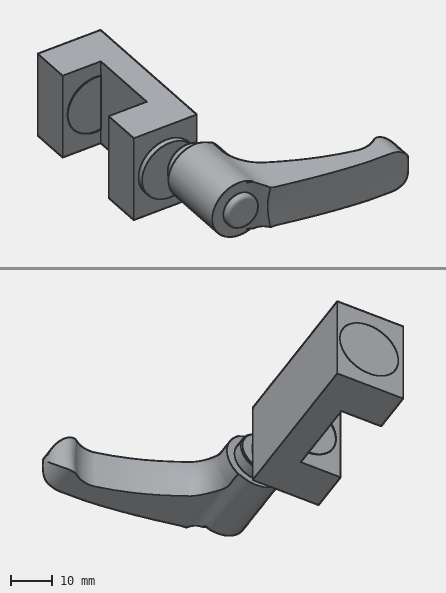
import cadquery as cq
import math

BLOCK_LENGTH = 42.0
BLOCK_DEPTH = 18.0
BLOCK_HEIGHT = 24.0
LEG_WIDTH = 11.0
SLOT_DEPTH = 10.9

BAR_DIAMETER = 16.0
BAR_CENTRE_Y = 9.35
BAR_LIP = 0.2
BAR_OVERHANG = 1.55
FLOOR_SKIN = 1.5

HUB_AXIS_Y = 14.35
HUB_RADIUS = 7.7
HUB_LENGTH = 19.1
COLLAR_DIAMETER = 11.8
COLLAR_LENGTH = 3.45
COLLAR_CHAMFER = 0.3
BUTTON_RADIUS = 4.55
BUTTON_LENGTH = 2.0
BUTTON_ROUND = 1.0

ARM_WIDTH = 11.3
ARM_REACH = 44.4
ARM_FLARE_RADIUS = 10.3
ARM_HEEL_X = 69.2
ARM_ROOT_RADIUS = 7.95

slot_end_x = BLOCK_LENGTH - LEG_WIDTH
bar_length = BLOCK_LENGTH + BAR_OVERHANG
hub_start_x = bar_length + COLLAR_LENGTH
hub_end_x = hub_start_x + HUB_LENGTH


def x_cylinder(start_x, length, radius, centre_y):
    """Cylinder along +X at Z = 0."""
    return cq.Workplane("YZ", origin=(start_x, centre_y, 0)).circle(radius).extrude(length)


def make_bar():
    """Round bar with a rectangular notch between the legs of the block."""
    bar = x_cylinder(0, bar_length, BAR_DIAMETER / 2, BAR_CENTRE_Y)
    notch_width = slot_end_x - LEG_WIDTH
    notch_depth = SLOT_DEPTH + FLOOR_SKIN
    floor_notch = (
        cq.Workplane("XY")
        .box(notch_width, FLOOR_SKIN, BLOCK_HEIGHT, centered=(False, False, True))
        .translate((LEG_WIDTH, SLOT_DEPTH, 0))
    )
    channel_notch = (
        cq.Workplane("XY")
        .box(notch_width - 2 * BAR_LIP, notch_depth, BLOCK_HEIGHT, centered=(False, False, True))
        .translate((LEG_WIDTH + BAR_LIP, 0, 0))
    )
    return bar.cut(floor_notch).cut(channel_notch)


def make_clamp(bar):
    """Channel block with a close-fitting bore for the bar."""
    block = (
        cq.Workplane("XY", origin=(0, 0, -BLOCK_HEIGHT / 2))
        .lineTo(LEG_WIDTH, 0)
        .lineTo(LEG_WIDTH, SLOT_DEPTH)
        .lineTo(slot_end_x, SLOT_DEPTH)
        .lineTo(slot_end_x, 0)
        .lineTo(BLOCK_LENGTH, 0)
        .lineTo(BLOCK_LENGTH, BLOCK_DEPTH)
        .lineTo(0, BLOCK_DEPTH)
        .close()
        .extrude(BLOCK_HEIGHT)
    )
    return block.cut(bar)


def make_hub():
    """Collar, hub barrel and end button on one axis."""
    collar = x_cylinder(bar_length, COLLAR_LENGTH, COLLAR_DIAMETER / 2, HUB_AXIS_Y)
    collar = collar.faces("<X").chamfer(COLLAR_CHAMFER)
    barrel = x_cylinder(hub_start_x, HUB_LENGTH, HUB_RADIUS, HUB_AXIS_Y)
    button = x_cylinder(hub_end_x, BUTTON_LENGTH, BUTTON_RADIUS, HUB_AXIS_Y)
    button = button.faces(">X").edges().fillet(BUTTON_ROUND)
    return collar.union(barrel).union(button)


def make_arm_side_profile():
    """Arm thickness profile, (x, distance from the hub axis), revolved about that axis."""
    tip_top = (71.2, ARM_REACH)
    return (
        cq.Workplane("XY", origin=(0, HUB_AXIS_Y, 0))
        .moveTo(hub_start_x, 0)
        .lineTo(hub_start_x, ARM_ROOT_RADIUS)
        .lineTo(51.5, ARM_ROOT_RADIUS)
        .threePointArc((56.1, 9.05), (59.75, 12.15))
        .threePointArc((64.8, 22.5), (68.0, 33.1))
        .threePointArc((67.7, 36.6), (66.4, 38.85))
        .threePointArc((66.0, 40.2), (66.4, 41.6))
        .threePointArc((68.3, 43.55), tip_top)
        .threePointArc((72.8, 44.1), (73.6, 42.3))
        .lineTo(73.4, 32.4)
        .threePointArc((71.95, 19.9), (ARM_HEEL_X, 6.5))
        .lineTo(ARM_HEEL_X, 0)
        .close()
        .revolve(360, (0, 0, 0), (1, 0, 0))
    )


def make_arm_plan():
    """Outline of the arm along the hub axis: flared root, parallel sides and round tip."""
    half_width = ARM_WIDTH / 2
    tip_centre_y = ARM_REACH - half_width
    centre_distance = HUB_RADIUS + ARM_FLARE_RADIUS
    flare_z = half_width + ARM_FLARE_RADIUS
    flare_y = math.sqrt(centre_distance**2 - flare_z**2)
    hub_y = flare_y * HUB_RADIUS / centre_distance
    hub_z = flare_z * HUB_RADIUS / centre_distance
    middle_angle = math.atan2(flare_y, flare_z) / 2
    middle_y = flare_y - ARM_FLARE_RADIUS * math.sin(middle_angle)
    middle_z = flare_z - ARM_FLARE_RADIUS * math.cos(middle_angle)
    return (
        cq.Workplane("YZ", origin=(hub_start_x, HUB_AXIS_Y, 0))
        .moveTo(hub_y, hub_z)
        .threePointArc((middle_y, middle_z), (flare_y, half_width))
        .lineTo(tip_centre_y, half_width)
        .threePointArc((ARM_REACH, 0), (tip_centre_y, -half_width))
        .lineTo(flare_y, -half_width)
        .threePointArc((middle_y, -middle_z), (hub_y, -hub_z))
        .lineTo(0, -hub_z)
        .lineTo(0, hub_z)
        .close()
        .extrude(BLOCK_LENGTH)
    )


def make_heel_cut():
    """Space in front of the hub end face, with a curved top under the arm."""
    hub_bottom_y = HUB_AXIS_Y - HUB_RADIUS
    cut_start_y = 16.5
    cut_end_x = 71.4
    cut_top_y = 21.05
    return (
        cq.Workplane("XY")
        .moveTo(hub_end_x, hub_bottom_y)
        .lineTo(hub_end_x, cut_start_y)
        .threePointArc((67.25, 18.8), (70.05, cut_top_y))
        .lineTo(cut_end_x, cut_top_y)
        .lineTo(cut_end_x, hub_bottom_y)
        .close()
        .extrude(HUB_RADIUS, both=True)
    )


def make_lever(bar):
    """Bar, hub and curved arm in one piece."""
    arm = make_arm_side_profile().intersect(make_arm_plan()).cut(make_heel_cut())
    return bar.union(make_hub()).union(arm)


bar = make_bar()
clamp = make_clamp(bar)
lever = make_lever(bar)
result = cq.Compound.makeCompound([*clamp.solids().vals(), *lever.solids().vals()])